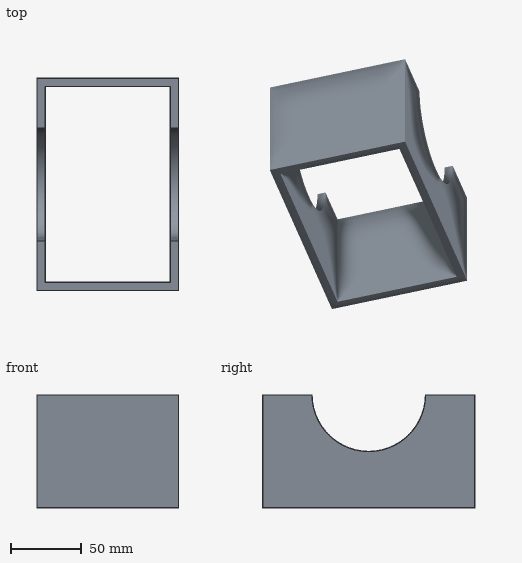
import cadquery as cq

length_x = 100.0
length_y = 150.0
height = 80.0

wall = 6.0
cradle_radius = 40.0


def rectangular_frame():
    """Four upright walls, open at the top and bottom, standing on Z = 0."""
    outer = cq.Workplane("XY").rect(length_x, length_y).extrude(height)
    opening = (
        cq.Workplane("XY")
        .rect(length_x - 2 * wall, length_y - 2 * wall)
        .extrude(height)
    )
    return outer.cut(opening)


def cradle_cutter():
    """Cylinder along X, centred on the top rim, that hollows both long walls."""
    return (
        cq.Workplane("YZ")
        .center(0, height)
        .circle(cradle_radius)
        .extrude(length_x / 2, both=True)
    )


result = rectangular_frame().cut(cradle_cutter())